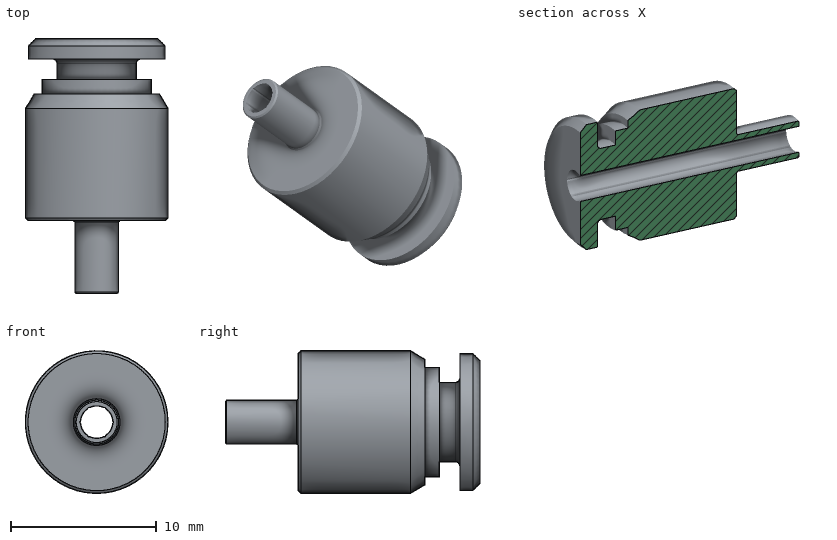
import cadquery as cq
import math

length = 17.5
stem_length = 5.0
body_length = 7.7
shoulder_length = 1.0
collar_length = 1.0
neck_length = 1.4

stem_diameter = 3.01
body_diameter = 9.8
shoulder_end_diameter = 8.61
collar_diameter = 7.5
neck_diameter = 5.46
cap_diameter = 9.4

bore_diameter = 2.2
hex_across_flats = 2.0

stem_tip_chamfer = 0.1
stem_root_flare = 0.1
body_chamfer = 0.2
neck_fillet = 0.3
cap_chamfer = 0.5

body_start = stem_length
shoulder_start = body_start + body_length
collar_start = shoulder_start + shoulder_length
neck_start = collar_start + collar_length
cap_start = neck_start + neck_length

stem_radius = stem_diameter / 2
body_radius = body_diameter / 2
shoulder_end_radius = shoulder_end_diameter / 2
collar_radius = collar_diameter / 2
neck_radius = neck_diameter / 2
cap_radius = cap_diameter / 2


def turned_body():
    """Solid turned about Y from its half profile, where X is the radius."""
    profile = (
        cq.Workplane("XY")
        .moveTo(0, 0)
        .lineTo(stem_radius - stem_tip_chamfer, 0)
        .lineTo(stem_radius, stem_tip_chamfer)
        .lineTo(stem_radius, body_start - stem_root_flare)
        .lineTo(stem_radius + stem_root_flare, body_start)
        .lineTo(body_radius - body_chamfer, body_start)
        .lineTo(body_radius, body_start + body_chamfer)
        .lineTo(body_radius, shoulder_start)
        .lineTo(shoulder_end_radius, collar_start)
        .lineTo(collar_radius, collar_start)
        .lineTo(collar_radius, neck_start)
        .lineTo(neck_radius, neck_start)
        .lineTo(neck_radius, cap_start - neck_fillet)
        .radiusArc((neck_radius + neck_fillet, cap_start), neck_fillet)
        .lineTo(cap_radius, cap_start)
        .lineTo(cap_radius, length - cap_chamfer)
        .lineTo(cap_radius - cap_chamfer, length)
        .lineTo(0, length)
        .close()
    )
    return profile.revolve(360, (0, 0, 0), (0, 1, 0))


def grooved_bore():
    """Round bore joined with a hexagon whose six corners cut shallow V grooves in its wall.

    Two of the corners lie on +X and -X.
    """
    hex_across_corners = hex_across_flats / math.cos(math.radians(30))
    round_bore = cq.Workplane("XZ").circle(bore_diameter / 2).extrude(-length)
    hex_bore = cq.Workplane("XZ").polygon(6, hex_across_corners).extrude(-length)
    return round_bore.union(hex_bore)


result = turned_body().cut(grooved_bore())